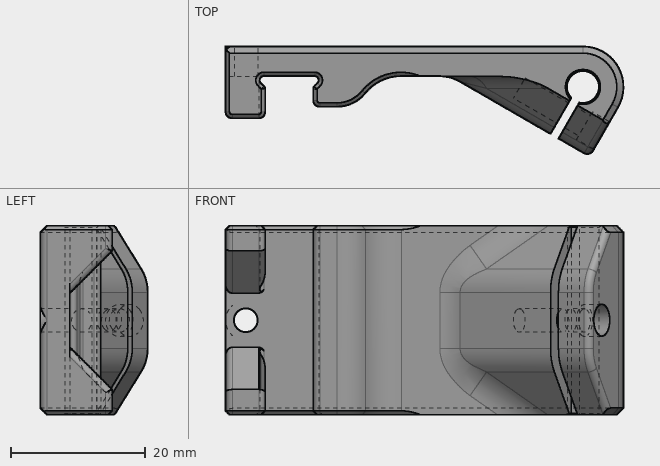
import cadquery as cq
import math

LENGTH = 59.0
HEIGHT = 28.0
PLATE_THICKNESS = 4.4
EDGE_ROUND = 1.0
BACK_CHAMFER = 1.0
FRONT_CHAMFER = 0.6

FOOT_WIDTH = 5.9
FOOT_DEPTH = 10.7
NOTCH_FLOOR_WIDTH = 8.0

GROOVE_END = 13.0
UNDERCUT_CORNER_DEPTH = 6.1
UNDERCUT_ROUND = 0.6

CREST_DEPTH = 8.95
CREST_END = 16.5
WAVE_END = 26.0
WAVE_CONVEX_SHARE = 0.44
WAVE_OVERRUN_ANGLE = 30.0

CLAMP_RADIUS = 6.0
CLAMP_TILT = 30.0
BORE_DIAMETER = 4.7
BORE_CHAMFER = 0.25
SLOT_WIDTH = 1.35
SCREW_HEAD_DIAMETER = 4.7
SCREW_OUT = 4.85
SCREW_HEAD_DEPTH = 3.0
SCREW_DIAMETER = 3.5
SCREW_DEPTH = 14.15

TONGUE_TOP = 8.45
TONGUE_SIDE_START = 2.8
TONGUE_SIDE_ANGLE = 35.5
TONGUE_ROUND = 6.0
TONGUE_LENGTH = 41.3

MOUNT_DIAMETER = 3.5
BOSS_DIAMETER = 6.0
MOUNT_X = BOSS_DIAMETER / 2

HALF = HEIGHT / 2
TILT = math.radians(CLAMP_TILT)
CLAMP_X = LENGTH - CLAMP_RADIUS
CLAMP_Y = -CLAMP_RADIUS
TONGUE_TOP_HALF = HALF - (TONGUE_TOP - TONGUE_SIDE_START) / math.tan(math.radians(TONGUE_SIDE_ANGLE))
BEYOND = LENGTH
TOLERANCE = 0.005


def clamp_point(along, out):
    """XY point at a distance from the bore axis along the tongue and out along the slot."""
    return (
        CLAMP_X + along * math.cos(TILT) - out * math.sin(TILT),
        CLAMP_Y - along * math.sin(TILT) - out * math.cos(TILT),
    )


def clamp_plane(along):
    """Plane square to the tongue; its local x is Z and its local y points back toward the bore."""
    return cq.Plane(
        origin=(*clamp_point(along, 0), 0),
        xDir=(0, 0, 1),
        normal=(-math.cos(TILT), math.sin(TILT), 0),
    )


def arc_point(center, radius, degrees):
    """XY point on a circle, with the angle counted from +X."""
    angle = math.radians(degrees)
    return (center[0] + radius * math.cos(angle), center[1] + radius * math.sin(angle))


def with_chamfered_ends(upper_prism, chamfer):
    """Cap an upper half prism with a 45 degree chamfer and mirror it to the full height."""
    cap = upper_prism.faces(">Z").wires().toPending().extrude(chamfer, taper=45)
    return cap.union(cap.mirror("XY"))


def blank_plate():
    """Plate with the foot, a block for the wave and the rounded clamp end, all square-edged."""
    slope_top = (CLAMP_Y - TONGUE_SIDE_START * math.cos(TILT) + PLATE_THICKNESS) / math.sin(TILT)
    return (
        cq.Workplane("XY", origin=(0, 0, -HALF))
        .moveTo(0, 0)
        .lineTo(0, -FOOT_DEPTH)
        .lineTo(FOOT_WIDTH, -FOOT_DEPTH)
        .lineTo(FOOT_WIDTH, -PLATE_THICKNESS)
        .lineTo(GROOVE_END, -PLATE_THICKNESS)
        .lineTo(GROOVE_END, -CREST_DEPTH)
        .lineTo(WAVE_END, -CREST_DEPTH)
        .lineTo(WAVE_END, -PLATE_THICKNESS)
        .lineTo(*clamp_point(slope_top, TONGUE_SIDE_START))
        .lineTo(*clamp_point(CLAMP_RADIUS, TONGUE_SIDE_START))
        .lineTo(*clamp_point(CLAMP_RADIUS, 0))
        .threePointArc(arc_point((CLAMP_X, CLAMP_Y), CLAMP_RADIUS, CLAMP_TILT), (CLAMP_X, 0))
        .close()
        .extrude(HEIGHT)
    )


def tongue():
    """Ridge of trapezoid section along the tilted direction, kept below the plate's front face."""
    ridge = (
        cq.Workplane(clamp_plane(CLAMP_RADIUS))
        .moveTo(-HALF, 0)
        .lineTo(-HALF, -TONGUE_SIDE_START)
        .lineTo(-TONGUE_TOP_HALF, -TONGUE_TOP)
        .lineTo(TONGUE_TOP_HALF, -TONGUE_TOP)
        .lineTo(HALF, -TONGUE_SIDE_START)
        .lineTo(HALF, 0)
        .close()
        .extrude(TONGUE_LENGTH)
    )
    middle = clamp_point(CLAMP_RADIUS - TONGUE_LENGTH / 2, TONGUE_TOP)
    for z in (-TONGUE_TOP_HALF, TONGUE_TOP_HALF):
        crest = cq.selectors.NearestToPointSelector((*middle, z))
        ridge = ridge.edges(crest).fillet(TONGUE_ROUND)
    below_plate = (
        cq.Workplane("XY")
        .box(LENGTH, LENGTH, HEIGHT, centered=(False, False, True))
        .translate((0, -LENGTH - PLATE_THICKNESS, 0))
    )
    return ridge.intersect(below_plate)


def round_tongue(body):
    """Blend the tongue into the plate, then round the edges of its end face."""
    root = body.edges("not(<Z or >Z)").filter(
        lambda edge: edge.BoundingBox().ylen < TOLERANCE
        and abs(edge.Center().y + PLATE_THICKNESS) < TOLERANCE
        and WAVE_END + TOLERANCE < edge.Center().x < CLAMP_X
    )
    body = root.fillet(TONGUE_ROUND)
    end = clamp_plane(CLAMP_RADIUS)

    def on_end_rim(edge):
        box = end.toLocalCoords(edge).BoundingBox()
        in_end_face = box.zlen < TOLERANCE and abs(box.zmax) < TOLERANCE
        return in_end_face and box.ymin < -TONGUE_SIDE_START - TOLERANCE

    return body.edges().filter(on_end_rim).fillet(EDGE_ROUND)


def notch_foot(body):
    """Cut the sloping notch through the foot and round the foot's outer edges."""
    floor = NOTCH_FLOOR_WIDTH / 2
    mouth = floor + FOOT_DEPTH - PLATE_THICKNESS
    notch = (
        cq.Workplane("YZ")
        .moveTo(-PLATE_THICKNESS, -floor)
        .lineTo(-PLATE_THICKNESS, floor)
        .lineTo(-FOOT_DEPTH, mouth)
        .lineTo(-FOOT_DEPTH, -mouth)
        .close()
        .extrude(FOOT_WIDTH)
    )
    body = body.cut(notch)
    body = body.edges("|Z and <X and >Y").fillet(EDGE_ROUND)
    rim = body.edges("not(<Z or >Z)").filter(
        lambda edge: edge.BoundingBox().xlen < TOLERANCE
        and edge.Center().x < FOOT_WIDTH + TOLERANCE
        and edge.Center().y < -PLATE_THICKNESS - TOLERANCE
    )
    return rim.fillet(EDGE_ROUND)


def front_envelope():
    """Space bounded by the left end, foot, groove and wave, chamfered along both flat sides."""
    rise = CREST_DEPTH - PLATE_THICKNESS
    run = WAVE_END - CREST_END
    turn = 2 * math.degrees(math.atan2(rise, run))
    radius_sum = run / math.sin(math.radians(turn))
    convex = WAVE_CONVEX_SHARE * radius_sum
    concave = radius_sum - convex
    convex_center = (CREST_END, -CREST_DEPTH + convex)
    concave_center = (WAVE_END, -PLATE_THICKNESS - concave)
    overrun = arc_point(concave_center, concave, 90 - WAVE_OVERRUN_ANGLE)
    undercut = UNDERCUT_CORNER_DEPTH - PLATE_THICKNESS

    foot_corners = [(0, -FOOT_DEPTH), (FOOT_WIDTH, -FOOT_DEPTH)]
    undercut_corners = [
        (FOOT_WIDTH, -UNDERCUT_CORNER_DEPTH),
        (FOOT_WIDTH - undercut, -PLATE_THICKNESS),
        (GROOVE_END + undercut, -PLATE_THICKNESS),
        (GROOVE_END, -UNDERCUT_CORNER_DEPTH),
    ]
    crest_corner = (GROOVE_END, -CREST_DEPTH)
    prism = (
        cq.Workplane("XY")
        .polyline([(0, BEYOND), *foot_corners, *undercut_corners, crest_corner, (CREST_END, -CREST_DEPTH)])
        .threePointArc(
            arc_point(convex_center, convex, turn / 2 - 90),
            arc_point(convex_center, convex, turn - 90),
        )
        .threePointArc(arc_point(concave_center, concave, 90 + turn / 2), (WAVE_END, -PLATE_THICKNESS))
        .threePointArc(arc_point(concave_center, concave, 90 - WAVE_OVERRUN_ANGLE / 2), overrun)
        .lineTo(overrun[0], -BEYOND)
        .lineTo(LENGTH + BEYOND, -BEYOND)
        .lineTo(LENGTH + BEYOND, BEYOND)
        .close()
        .extrude(HALF - FRONT_CHAMFER)
    )
    roundings = [(corner, EDGE_ROUND) for corner in (*foot_corners, crest_corner)]
    roundings += [(corner, UNDERCUT_ROUND) for corner in undercut_corners]
    for corner, radius in roundings:
        at_corner = cq.selectors.NearestToPointSelector((*corner, (HALF - FRONT_CHAMFER) / 2))
        prism = prism.edges("|Z").edges(at_corner).fillet(radius)
    return with_chamfered_ends(prism, FRONT_CHAMFER)


def back_envelope():
    """Space bounded by the back, the clamp's round and its end face, chamfered along both flat sides."""
    prism = (
        cq.Workplane("XY")
        .moveTo(-BEYOND, 0)
        .lineTo(CLAMP_X, 0)
        .threePointArc(
            arc_point((CLAMP_X, CLAMP_Y), CLAMP_RADIUS, CLAMP_TILT),
            clamp_point(CLAMP_RADIUS, 0),
        )
        .lineTo(*clamp_point(CLAMP_RADIUS, BEYOND))
        .lineTo(-BEYOND, -BEYOND)
        .close()
        .extrude(HALF - BACK_CHAMFER)
    )
    return with_chamfered_ends(prism, BACK_CHAMFER)


def cut_clamp(body):
    """Bore with chamfered rims, slot through the tongue and stepped hole for the clamping screw."""
    bore_radius = BORE_DIAMETER / 2
    bore = cq.Workplane("XY").center(CLAMP_X, CLAMP_Y).circle(bore_radius).extrude(HALF)
    rim = (
        cq.Workplane("XY", origin=(CLAMP_X, CLAMP_Y, HALF))
        .circle(bore_radius + BORE_CHAMFER)
        .extrude(-BORE_CHAMFER, taper=45)
    )
    upper_bore = bore.union(rim)
    slot = (
        cq.Workplane(clamp_plane(-SLOT_WIDTH / 2))
        .rect(HEIGHT, 2 * TONGUE_TOP)
        .extrude(-SLOT_WIDTH)
        .intersect(
            cq.Workplane(clamp_plane(CLAMP_RADIUS))
            .center(0, -TONGUE_TOP / 2)
            .rect(HEIGHT, TONGUE_TOP)
            .extrude(2 * CLAMP_RADIUS)
        )
    )
    screw_axis = cq.Workplane(clamp_plane(CLAMP_RADIUS)).center(0, -SCREW_OUT)
    head = screw_axis.circle(SCREW_HEAD_DIAMETER / 2).extrude(SCREW_HEAD_DEPTH)
    shank = screw_axis.circle(SCREW_DIAMETER / 2).extrude(SCREW_DEPTH)
    screw_hole = head.union(shank)
    return body.cut(upper_bore).cut(upper_bore.mirror("XY")).cut(slot).cut(screw_hole)


def add_mount(body):
    """Mounting hole, with a boss flush with the back that fills the rounded edge around it."""
    back = cq.Workplane("XZ").center(MOUNT_X, 0)
    boss = back.circle(BOSS_DIAMETER / 2).extrude(EDGE_ROUND)
    hole = back.circle(MOUNT_DIAMETER / 2).extrude(PLATE_THICKNESS)
    return body.union(boss).cut(hole)


bracket = round_tongue(blank_plate().union(tongue()))
bracket = notch_foot(bracket)
bracket = bracket.intersect(front_envelope()).intersect(back_envelope())
bracket = cut_clamp(bracket)
result = add_mount(bracket)